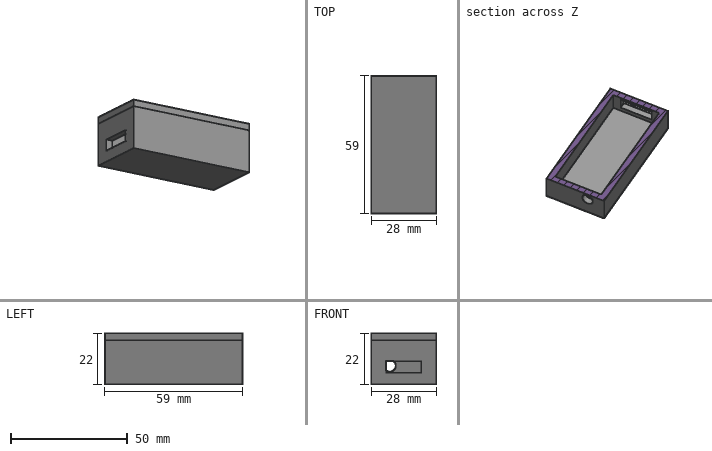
import cadquery as cq

LENGTH = 59.0
WIDTH = 28.0
HEIGHT = 22.0

THICKNESS = 3.0
BODY_HEIGHT = HEIGHT - THICKNESS

SLOT_WIDTH = 15.0
SLOT_HEIGHT = 5.0
SLOT_LEFT = 6.5
SLOT_BOTTOM = 5.0

HOLE_DIAMETER = 5.0
HOLE_X = 8.0
HOLE_Z = 8.0


def corner_box(width, length, height, corner):
    """Box that extends toward +X, +Y and +Z from its lowest corner."""
    return cq.Workplane("XY").box(width, length, height, centered=False).translate(corner)


def make_housing():
    """Open-topped box with a slot in front and a round hole at the back."""
    block = corner_box(WIDTH, LENGTH, BODY_HEIGHT, (0, 0, 0))
    cavity = corner_box(
        WIDTH - 2 * THICKNESS,
        LENGTH - 2 * THICKNESS,
        BODY_HEIGHT - THICKNESS,
        (THICKNESS, THICKNESS, THICKNESS),
    )
    slot = corner_box(SLOT_WIDTH, THICKNESS, SLOT_HEIGHT, (SLOT_LEFT, 0, SLOT_BOTTOM))
    hole = (
        cq.Workplane("XZ", origin=(HOLE_X, LENGTH, HOLE_Z))
        .circle(HOLE_DIAMETER / 2)
        .extrude(THICKNESS)
    )
    return block.cut(cavity).cut(slot).cut(hole)


def make_lid():
    """Flat plate that closes the top of the housing."""
    return corner_box(WIDTH, LENGTH, THICKNESS, (0, 0, BODY_HEIGHT))


housing = make_housing()
lid = make_lid()

result = cq.Compound.makeCompound([housing.solids().val(), lid.val()])